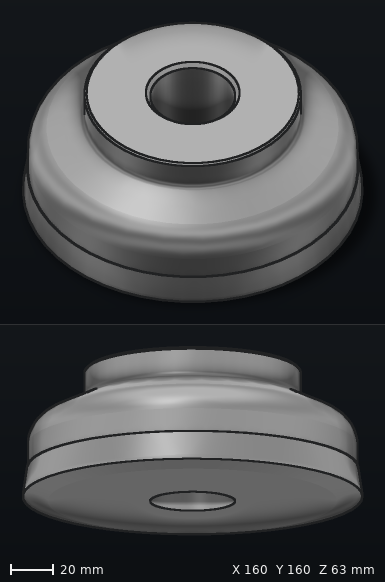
import cadquery as cq
import math

height = 63.0
bore_radius = 40 / 2
bore_chamfer = 2.0

boss_radius = 102.0 / 2
boss_top_radius = 100.0 / 2
boss_chamfer = boss_radius - boss_top_radius
body_radius = 155.5 / 2
housing_bottom_z = 13.1
shoulder_start_z = 27.0
shoulder_round = 15.4
neck_start_z = 51.2
neck_round = 3.2

ring_radius = 80.0
ring_top_radius = 78.0
ring_top_z = 16.2
ring_foot_radius = 68.2
ring_rim_z = 2.2
ring_round_height = 1.9


def arc_point(center, radius, angle):
    """Point on a circle in the radius-height plane, angle in radians."""
    return (center[0] + radius * math.cos(angle), center[1] + radius * math.sin(angle))


def revolve(profile):
    """Turn a closed radius-height profile about the Z axis."""
    return profile.close().revolve(360, (0, 0, 0), (0, 1, 0))


def make_housing():
    shoulder_center = (body_radius - shoulder_round, shoulder_start_z)
    neck_center = (boss_radius + neck_round, neck_start_z)
    across = neck_center[0] - shoulder_center[0]
    rise = neck_center[1] - shoulder_center[1]
    normal_angle = math.atan2(rise, across) - math.acos(
        (shoulder_round + neck_round) / math.hypot(across, rise)
    )
    shoulder_end = arc_point(shoulder_center, shoulder_round, normal_angle)
    shoulder_middle = arc_point(shoulder_center, shoulder_round, normal_angle / 2)
    neck_end = arc_point(neck_center, neck_round, normal_angle + math.pi)
    neck_middle = arc_point(neck_center, neck_round, normal_angle / 2 + math.pi)

    profile = (
        cq.Workplane("XZ")
        .moveTo(bore_radius, housing_bottom_z)
        .lineTo(body_radius, housing_bottom_z)
        .lineTo(body_radius, shoulder_start_z)
        .threePointArc(shoulder_middle, shoulder_end)
        .lineTo(*neck_end)
        .threePointArc(neck_middle, (boss_radius, neck_start_z))
        .lineTo(boss_radius, height - boss_chamfer)
        .lineTo(boss_top_radius, height)
        .lineTo(bore_radius + bore_chamfer, height)
        .lineTo(bore_radius, height - bore_chamfer)
    )
    return revolve(profile)


def make_ring():
    flank_height = ring_top_z - ring_rim_z - ring_round_height / 2
    lean = math.atan2(ring_radius - ring_top_radius, flank_height)
    round_radius = ring_round_height / math.sin(lean)
    round_center = (ring_radius - round_radius, ring_rim_z)

    profile = (
        cq.Workplane("XZ")
        .moveTo(bore_radius, 0)
        .lineTo(ring_foot_radius, 0)
        .lineTo(ring_radius, ring_rim_z)
        .threePointArc(
            arc_point(round_center, round_radius, lean / 2),
            arc_point(round_center, round_radius, lean),
        )
        .lineTo(ring_top_radius, ring_top_z)
        .lineTo(body_radius, ring_top_z)
        .lineTo(body_radius, housing_bottom_z)
        .lineTo(bore_radius, housing_bottom_z)
    )
    return revolve(profile)


housing = make_housing()
ring = make_ring()

result = cq.Compound.makeCompound([housing.val(), ring.val()])